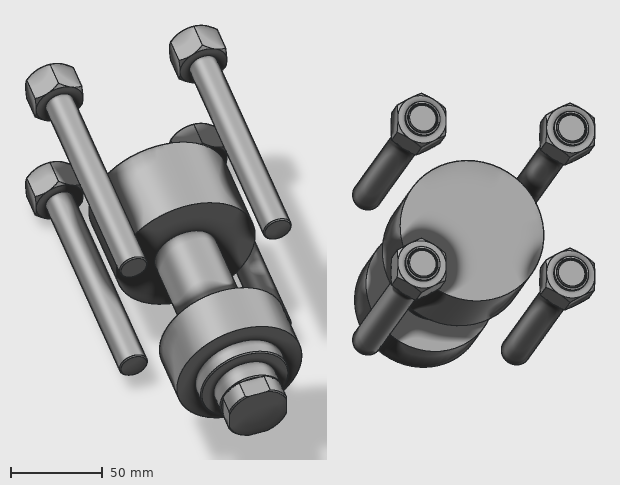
import cadquery as cq
import math

overall_length = 230.0
piston_start = 64.2
piston_length = 45.5
gland_start = 169.7
gland_body_length = 29.2
gland_nose_length = 9.2
wrench_end_length = 11.0

piston_diameter = 80.0
rod_diameter = 35.9
wrench_flat_width = 33.0
rod_chamfer = 0.7

gland_body_diameter = 72.0
gland_nose_diameter = 50.8
gland_nose_chamfer = 0.7

tie_rod_pitch = 82.8
tie_rod_length = 143.0
tie_rod_diameter = 16.0
tie_rod_chamfer = 0.7
nut_collar_length = 2.0
nut_collar_diameter = 19.0
nut_bore_chamfer = 0.5
nut_hex_length = 17.7
nut_across_flats = 27.0
nut_corner_chamfer_run = 1.8
nut_corner_chamfer_depth = 2.0

wrench_start = overall_length - wrench_end_length
nut_length = nut_collar_length + nut_hex_length
nut_across_corners = nut_across_flats / math.cos(math.pi / 6)


def cylinder_along_x(start, length, diameter):
    """Solid cylinder parallel to X, centred on the X axis."""
    return cq.Workplane("YZ", origin=(start, 0, 0)).circle(diameter / 2).extrude(length)


def make_piston_rod():
    """Piston and its rod in one piece, with four wrench flats on the rod's free end."""
    piston = cylinder_along_x(piston_start, piston_length, piston_diameter)
    rod = cylinder_along_x(piston_start, wrench_start - piston_start, rod_diameter)
    rod = rod.faces(">X").chamfer(rod_chamfer)
    tip = cylinder_along_x(wrench_start, wrench_end_length, rod_diameter)
    tip = tip.faces(">X").chamfer(rod_chamfer)
    flats = (
        cq.Workplane("YZ", origin=(wrench_start, 0, 0))
        .rect(wrench_flat_width, wrench_flat_width)
        .extrude(wrench_end_length)
    )
    return piston.union(rod).union(tip.intersect(flats))


def make_gland():
    """Stepped gland that surrounds the rod, with a chamfered nose."""
    body = cylinder_along_x(gland_start, gland_body_length, gland_body_diameter)
    nose = cylinder_along_x(gland_start + gland_body_length, gland_nose_length, gland_nose_diameter)
    nose = nose.faces(">X").chamfer(gland_nose_chamfer)
    bore = cylinder_along_x(gland_start, gland_body_length + gland_nose_length, rod_diameter)
    return body.union(nose).cut(bore)


def make_tie_rod():
    """Plain tie rod, chamfered at both ends."""
    return cylinder_along_x(0, tie_rod_length, tie_rod_diameter).faces("<X or >X").chamfer(tie_rod_chamfer)


def make_nut():
    """Hex nut with two corners along Z, conically turned ends and a round collar at its outer end."""
    hexagon = (
        cq.Workplane("YZ", origin=(nut_collar_length, 0, 0))
        .polygon(6, nut_across_corners)
        .extrude(nut_hex_length)
        .rotate((0, 0, 0), (1, 0, 0), 90)
    )
    turned_blank = cylinder_along_x(nut_collar_length, nut_hex_length, nut_across_corners)
    turned_blank = turned_blank.faces("<X").chamfer(nut_corner_chamfer_run, nut_corner_chamfer_depth)
    turned_blank = turned_blank.faces(">X").chamfer(nut_corner_chamfer_run, nut_corner_chamfer_depth)
    collar = cylinder_along_x(0, nut_collar_length, nut_collar_diameter)
    bore = cylinder_along_x(0, nut_length, tie_rod_diameter)
    nut = hexagon.intersect(turned_blank).union(collar).cut(bore)
    bore_mouth = nut.faces("<X").edges(cq.selectors.RadiusNthSelector(0))
    return bore_mouth.chamfer(nut_bore_chamfer)


piston_rod = make_piston_rod()
gland = make_gland()

tie_rods = []
nuts = []
for y_side in (-1, 1):
    for z_side in (-1, 1):
        corner = (0, y_side * tie_rod_pitch / 2, z_side * tie_rod_pitch / 2)
        tie_rods.append(make_tie_rod().translate(corner).val())
        nuts.append(make_nut().translate(corner).val())

result = cq.Compound.makeCompound([piston_rod.val(), gland.val(), *tie_rods, *nuts])